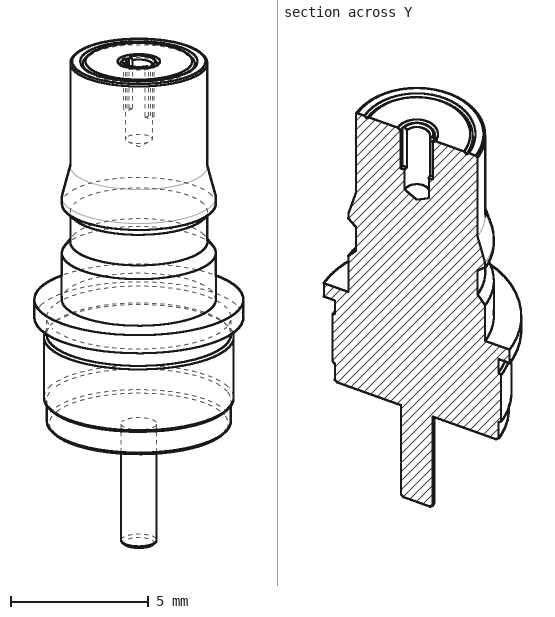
import cadquery as cq

PIN_BOTTOM = -8.7
BODY_BOTTOM = -4.1
PRESS_BAND_BOTTOM = -3.1
PRESS_BAND_TOP = -0.65
FLANGE_TOP = 0.7
SHOULDER_TOP = 2.5
NECK_BOTTOM = 2.92
NECK_TOP = 4.1
BEAD_BOTTOM = 4.4
BEAD_TOP = 4.65
BARREL_BOTTOM = 5.85
BARREL_TOP = 9.9

PIN_RADIUS = 0.65
BODY_RADIUS = 3.35
PRESS_BAND_RADIUS = 3.45
FLANGE_RADIUS = 3.8
SHOULDER_RADIUS = 2.8
BARREL_RADIUS = 2.49
EDGE_CHAMFER = 0.1
RIM_CHAMFER = 0.07

RIM_INNER_RADIUS = 2.13
INSULATOR_RADIUS = 1.94
RIM_GROOVE_DEPTH = 0.1

INSULATOR_MOUTH_RADIUS = 0.77
CONTACT_GROOVE_RADIUS = 0.67
CONTACT_GROOVE_DEPTH = 0.1
CONTACT_EDGE_RADIUS = 0.6
CONTACT_BORE_RADIUS = 0.49
CONTACT_BORE_DEPTH = 3.0
DRILL_TIP_HEIGHT = 0.3
SLOT_LENGTH = 1.3
SLOT_WIDTH = 0.28
SLOT_DEPTH = 2.0


def turned(outline):
    """Revolve a closed (radius, height) outline about Z."""
    return cq.Workplane("XZ").polyline(outline).close().revolve(360, (0, 0, 0), (0, 1, 0))


def outer_body():
    """Solid turned envelope, from the solder pin up to the barrel rim."""
    band_step = PRESS_BAND_RADIUS - BODY_RADIUS
    return turned([
        (0, PIN_BOTTOM),
        (PIN_RADIUS - EDGE_CHAMFER, PIN_BOTTOM),
        (PIN_RADIUS, PIN_BOTTOM + EDGE_CHAMFER),
        (PIN_RADIUS, BODY_BOTTOM),
        (BODY_RADIUS - EDGE_CHAMFER, BODY_BOTTOM),
        (BODY_RADIUS, BODY_BOTTOM + EDGE_CHAMFER),
        (BODY_RADIUS, PRESS_BAND_BOTTOM - band_step),
        (PRESS_BAND_RADIUS, PRESS_BAND_BOTTOM),
        (PRESS_BAND_RADIUS, PRESS_BAND_TOP - band_step),
        (BODY_RADIUS, PRESS_BAND_TOP),
        (BODY_RADIUS, 0),
        (FLANGE_RADIUS, 0),
        (FLANGE_RADIUS, FLANGE_TOP),
        (SHOULDER_RADIUS, FLANGE_TOP),
        (SHOULDER_RADIUS, SHOULDER_TOP),
        (BARREL_RADIUS, NECK_BOTTOM),
        (BARREL_RADIUS, NECK_TOP),
        (SHOULDER_RADIUS, BEAD_BOTTOM),
        (SHOULDER_RADIUS, BEAD_TOP),
        (BARREL_RADIUS, BARREL_BOTTOM),
        (BARREL_RADIUS, BARREL_TOP - RIM_CHAMFER),
        (BARREL_RADIUS - RIM_CHAMFER, BARREL_TOP),
        (0, BARREL_TOP),
    ])


def rim_groove():
    """V-shaped ring that separates the barrel rim from the insulator."""
    root_radius = (INSULATOR_RADIUS + RIM_INNER_RADIUS) / 2
    return turned([
        (INSULATOR_RADIUS, BARREL_TOP),
        (root_radius, BARREL_TOP - RIM_GROOVE_DEPTH),
        (RIM_INNER_RADIUS, BARREL_TOP),
    ])


def socket_bore():
    """Contact bore with a flared mouth, a drilled bottom and a V-groove around its rim."""
    bore_bottom = BARREL_TOP - CONTACT_BORE_DEPTH
    flare_depth = CONTACT_EDGE_RADIUS - CONTACT_BORE_RADIUS
    return turned([
        (0, bore_bottom - DRILL_TIP_HEIGHT),
        (CONTACT_BORE_RADIUS, bore_bottom),
        (CONTACT_BORE_RADIUS, BARREL_TOP - flare_depth),
        (CONTACT_EDGE_RADIUS, BARREL_TOP),
        (CONTACT_GROOVE_RADIUS, BARREL_TOP - CONTACT_GROOVE_DEPTH),
        (INSULATOR_MOUTH_RADIUS, BARREL_TOP),
        (0, BARREL_TOP),
    ])


def contact_slot():
    """Slot across the contact along X, splitting it into two spring fingers."""
    return (
        cq.Workplane("XY", origin=(0, 0, BARREL_TOP))
        .rect(SLOT_LENGTH, SLOT_WIDTH)
        .extrude(-SLOT_DEPTH)
    )


result = outer_body().cut(rim_groove()).cut(socket_bore()).cut(contact_slot())